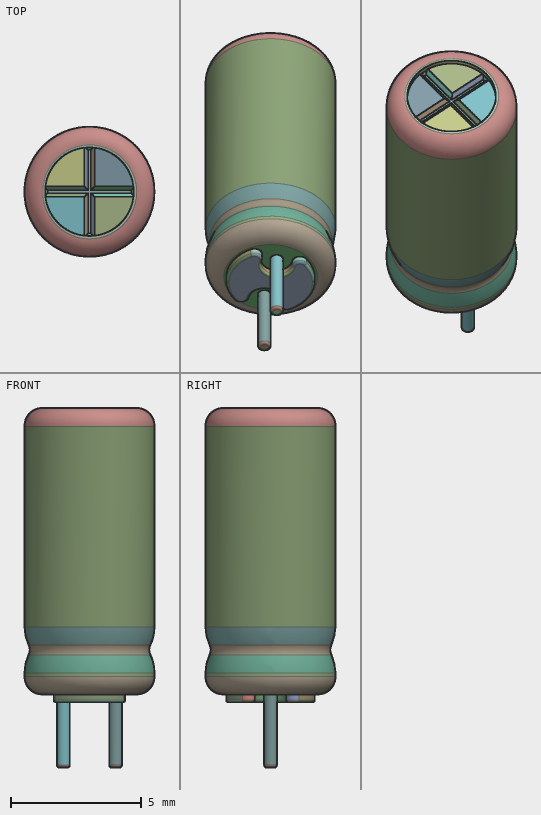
import cadquery as cq
import math


can_radius = 2.5
can_height = 11.0
can_edge_radius = 0.7

groove_height = 1.72
groove_depth = 0.2
groove_half_width = 0.88
throat_half_width = 0.2

recess_radius = 1.7
recess_depth = 0.2
vent_length = 3.5
vent_width = 0.4
vent_depth = 0.15
vent_taper = 45

standoff_radius = 1.7
standoff_height = 0.3
standoff_edge_radius = 0.1
notch_width = 1.2
notch_corner_radius = 0.3

pin_spacing = 2.0
pin_diameter = 0.5
pin_length = 2.5
pin_tip_radius = 0.1

can_bottom = standoff_height
can_top = can_bottom + can_height
recess_floor = can_top - recess_depth
pin_positions = [(-pin_spacing / 2, 0), (pin_spacing / 2, 0)]


def make_can():
    """Revolve the can outline; the groove is a concave throat between two tangent shoulders."""
    turn = 2 * math.atan(groove_depth / groove_half_width)
    throat_radius = throat_half_width / math.sin(turn)
    shoulder_radius = (groove_half_width - throat_half_width) / math.sin(turn)
    groove_z = can_bottom + groove_height
    throat_r = can_radius - groove_depth
    blend_r = throat_r + throat_radius * (1 - math.cos(turn))
    shoulder_mid_r = can_radius - shoulder_radius * (1 - math.cos(turn / 2))
    shoulder_mid_offset = groove_half_width - shoulder_radius * math.sin(turn / 2)

    outline = (
        cq.Workplane("XZ")
        .moveTo(0, can_bottom)
        .lineTo(can_radius - can_edge_radius, can_bottom)
        .radiusArc((can_radius, can_bottom + can_edge_radius), -can_edge_radius)
        .lineTo(can_radius, groove_z - groove_half_width)
        .threePointArc(
            (shoulder_mid_r, groove_z - shoulder_mid_offset),
            (blend_r, groove_z - throat_half_width),
        )
        .threePointArc((throat_r, groove_z), (blend_r, groove_z + throat_half_width))
        .threePointArc(
            (shoulder_mid_r, groove_z + shoulder_mid_offset),
            (can_radius, groove_z + groove_half_width),
        )
        .lineTo(can_radius, can_top - can_edge_radius)
        .radiusArc((can_radius - can_edge_radius, can_top), -can_edge_radius)
        .lineTo(0, can_top)
        .close()
    )
    return outline.revolve(360, (0, 0, 0), (0, 1, 0))


def make_top_recess():
    """Round recess in the can top, cut away from the can."""
    return cq.Workplane("XY", origin=(0, 0, recess_floor)).circle(recess_radius).extrude(recess_depth)


def make_vent():
    """Cross of two sloped-wall grooves below the recess floor, kept inside the recess circle."""
    floor_plane = cq.Workplane("XY", origin=(0, 0, recess_floor))
    along_x = floor_plane.rect(vent_length, vent_width).extrude(-vent_depth, taper=vent_taper)
    along_y = floor_plane.rect(vent_width, vent_length).extrude(-vent_depth, taper=vent_taper)
    limit = floor_plane.circle(recess_radius).extrude(-vent_depth)
    return along_x.union(along_y).intersect(limit)


def make_standoff():
    """Disc with a round-ended notch around each pin, open to the rim with rounded corners."""
    disc = cq.Workplane("XY").circle(standoff_radius).extrude(standoff_height)
    for x, y in pin_positions:
        outward = math.copysign(standoff_radius, x)
        round_end = cq.Workplane("XY").center(x, y).circle(notch_width / 2).extrude(standoff_height)
        channel = (
            cq.Workplane("XY")
            .center(x + outward / 2, y)
            .rect(standoff_radius, notch_width)
            .extrude(standoff_height)
        )
        disc = disc.cut(round_end.union(channel))
    for side in (-1, 1):
        mouth = cq.selectors.BoxSelector(
            (side * (pin_spacing / 2 + notch_corner_radius), -notch_width, 0),
            (side * standoff_radius, notch_width, standoff_height),
        )
        disc = disc.edges("|Z").edges(mouth).fillet(notch_corner_radius)
    return disc.faces("<Z").fillet(standoff_edge_radius)


def make_pins():
    """Round wire leads with rounded tips, running up to the can bottom."""
    return (
        cq.Workplane("XY", origin=(0, 0, -pin_length))
        .pushPoints(pin_positions)
        .circle(pin_diameter / 2)
        .extrude(pin_length + can_bottom)
        .faces("<Z")
        .fillet(pin_tip_radius)
    )


can = make_can().cut(make_top_recess()).cut(make_vent())
result = can.union(make_standoff()).union(make_pins())